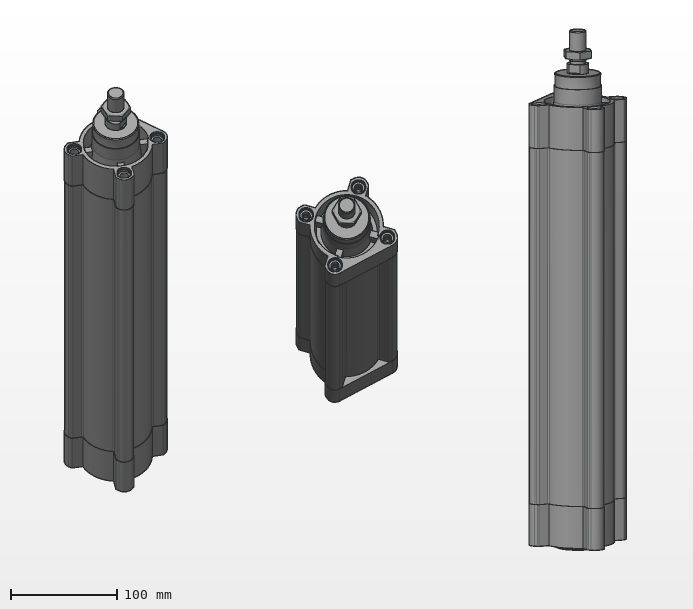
import cadquery as cq
import math

width = 75.0
total_length = 493.0

cap_bottom = 4.5
lower_seam = 44.5
upper_seam = 384.5
cap_top = 425.5
collar_step = 440.5
collar_top = 452.5

body_radius = 34.5
cap_lobe_half_width = 9.0
barrel_lobe_half_width = 8.5
corner_radius = 9.0
screw_offset = 28.0
barrel_inset = 0.25
cap_edge_radius = 2.0
barrel_edge_radius = 3.5
barrel_root_radius = 1.5

collar_diameter = 45.0
collar_tip_diameter = 43.5
collar_waist_depth = 0.25
collar_chamfer_height = 0.75
collar_chamfer_width = 1.0
groove_depth = 19.5
groove_inner_floor_diameter = 49.0
groove_outer_floor_diameter = 57.0
groove_outer_diameter = 61.0
groove_flat_side_diameter = 63.0
rib_width = 6.5
rib_drop = 4.0
spigot_diameter = 45.0
spigot_chamfer = 1.5

screw_bores = [(14.0, 2.0), (12.0, 4.5), (8.0, 12.5), (6.5, 19.5)]
drill_tip_angle = 118

rod_diameter = 20.0
rod_flat_width = 17.0
rod_flat_bottom = 453.5
rod_shoulder = 461.5
neck_diameter = 14.5
neck_top = 464.5
thread_diameter = 16.0
thread_chamfer = 1.0

nut_bottom = 467.0
nut_height = 7.5
nut_width = 24.0
nut_chamfer_angle = 15
nut_sides = 6

axis_start = (0, 0, 0)
axis_end = (0, 0, 1)


def level(z):
    return cq.Workplane("XY", origin=(0, 0, z))


def cylinder(diameter, bottom, top):
    return level(bottom).circle(diameter / 2).extrude(top - bottom)


def frustum(bottom_diameter, top_diameter, bottom, top):
    cone = cq.Solid.makeCone(bottom_diameter / 2, top_diameter / 2, top - bottom, cq.Vector(0, 0, bottom))
    return cq.Workplane(obj=cone)


def diagonal_bars(bar_width, bottom, top):
    """Two crossing bars along the diagonals of the square envelope."""
    bar = level(bottom).rect(2 * width, bar_width).extrude(top - bottom)
    rising = bar.rotate(axis_start, axis_end, 45)
    falling = bar.rotate(axis_start, axis_end, 135)
    return rising.union(falling)


def make_lobe(half_width, inset, edge_radius, bottom, top):
    """Lobe towards the +X +Y corner, with rounded flank edges and a rounded corner."""
    side = width / 2 - inset
    flank = math.sqrt(2) * half_width
    lobe = (
        level(bottom)
        .polyline([(flank, 0), (side, side - flank), (side, side), (side - flank, side), (0, flank)])
        .close()
        .extrude(top - bottom)
    )
    lobe = lobe.edges("|Z").edges(">X or >Y").edges("not >(1,1,0)").fillet(edge_radius)
    return lobe.edges("|Z").edges(">(1,1,0)").fillet(corner_radius)


def lobed_section(lobe_half_width, inset, edge_radius, bottom, top):
    """Round body with a lobe at each of the four corners."""
    section = cylinder(2 * (body_radius - inset), bottom, top)
    lobe = make_lobe(lobe_half_width, inset, edge_radius, bottom, top)
    for turn in range(4):
        section = section.union(lobe.rotate(axis_start, axis_end, 90 * turn))
    return section


def make_cap(bottom, top):
    """End cap: lobed section with the +Y side filled flat between its lobes."""
    flat_side = (
        level(bottom)
        .center(0, width / 4)
        .rect(2 * screw_offset, width / 2)
        .extrude(top - bottom)
    )
    return lobed_section(cap_lobe_half_width, 0, cap_edge_radius, bottom, top).union(flat_side)


def make_barrel():
    """Barrel slightly smaller than the caps, with rounded roots between lobes and body."""
    barrel = lobed_section(
        barrel_lobe_half_width, barrel_inset, barrel_edge_radius, lower_seam, upper_seam)
    reach = body_radius - barrel_root_radius
    roots = cq.selectors.BoxSelector((-reach, -reach, lower_seam), (reach, reach, upper_seam))
    return barrel.edges("|Z").edges(roots).fillet(barrel_root_radius)


def make_groove():
    """Tapered ring around the collar, straight-walled on the +Y side and bridged by diagonal ribs."""
    floor = cap_top - groove_depth
    inner_cone = frustum(groove_inner_floor_diameter, collar_diameter, floor, cap_top)
    ring = frustum(groove_outer_floor_diameter, groove_outer_diameter, floor, cap_top)
    quadrant = level(floor).polyline([(0, 0), (width, width), (-width, width)]).close().extrude(groove_depth)
    straight_side = cylinder(groove_flat_side_diameter, floor, cap_top).intersect(quadrant)
    ribs = diagonal_bars(rib_width, floor, cap_top - rib_drop)
    return ring.union(straight_side).cut(inner_cone).cut(ribs)


def make_collar():
    """Stepped collar whose narrower tip is slightly waisted."""
    tip_radius = collar_tip_diameter / 2
    chamfer_bottom = collar_top - collar_chamfer_height
    tip = (
        cq.Workplane("XZ")
        .moveTo(0, collar_step)
        .lineTo(tip_radius, collar_step)
        .threePointArc(
            (tip_radius - collar_waist_depth, (collar_step + chamfer_bottom) / 2),
            (tip_radius, chamfer_bottom),
        )
        .lineTo(tip_radius - collar_chamfer_width, collar_top)
        .lineTo(0, collar_top)
        .close()
        .revolve(360, axis_start, (0, 1, 0))
    )
    return cylinder(collar_diameter, cap_top, collar_step).union(tip)


def make_screw_hole():
    """Stepped hole on the axis, ending in a drill tip."""
    hole = None
    for diameter, depth in screw_bores:
        bore = cylinder(diameter, cap_top - depth, cap_top)
        hole = bore if hole is None else hole.union(bore)
    last_diameter, last_depth = screw_bores[-1]
    tip_height = last_diameter / 2 / math.tan(math.radians(drill_tip_angle / 2))
    bottom = cap_top - last_depth
    return hole.union(frustum(0, last_diameter, bottom - tip_height, bottom))


def make_housing():
    body = make_barrel().union(make_cap(cap_bottom, lower_seam)).union(make_cap(upper_seam, cap_top))
    body = body.cut(make_groove()).union(make_collar())
    body = body.union(cylinder(spigot_diameter, 0, cap_bottom).faces("<Z").chamfer(spigot_chamfer))
    screw_hole = make_screw_hole()
    for x in (-screw_offset, screw_offset):
        for y in (-screw_offset, screw_offset):
            body = body.cut(screw_hole.translate((x, y, 0)))
    rod_bore = cylinder(rod_diameter, cap_top, collar_top)
    return body.cut(rod_bore)


def make_rod():
    """Piston rod with two wrench flats, a neck and a threaded end."""
    shank = cylinder(rod_diameter, cap_top, rod_flat_bottom)
    flats = (
        level(rod_flat_bottom)
        .rect(rod_flat_width, rod_diameter)
        .extrude(rod_shoulder - rod_flat_bottom)
        .intersect(cylinder(rod_diameter, rod_flat_bottom, rod_shoulder))
    )
    neck = cylinder(neck_diameter, rod_shoulder, neck_top)
    thread = cylinder(thread_diameter, neck_top, total_length).faces(">Z").chamfer(thread_chamfer)
    return shank.union(flats).union(neck).union(thread)


def make_nut():
    """Hexagonal lock nut with flats facing +X and -X and both ends chamfered."""
    half_side_angle = 180 / nut_sides
    corner_diameter = nut_width / math.cos(math.radians(half_side_angle))
    nut_top = nut_bottom + nut_height
    hexagon = (
        level(nut_bottom)
        .polygon(nut_sides, corner_diameter)
        .extrude(nut_height)
        .rotate(axis_start, axis_end, half_side_angle)
    )
    chamfer_width = (corner_diameter - nut_width) / 2
    chamfer_height = chamfer_width * math.tan(math.radians(nut_chamfer_angle))
    turned = cylinder(corner_diameter, nut_bottom, nut_top)
    turned = turned.faces(">Z").chamfer(chamfer_height, chamfer_width)
    turned = turned.faces("<Z").chamfer(chamfer_height, chamfer_width)
    return hexagon.intersect(turned).cut(cylinder(thread_diameter, nut_bottom, nut_top))


housing = make_housing()
rod = make_rod()
nut = make_nut()
result = cq.Compound.makeCompound([housing.val(), rod.val(), nut.val()])